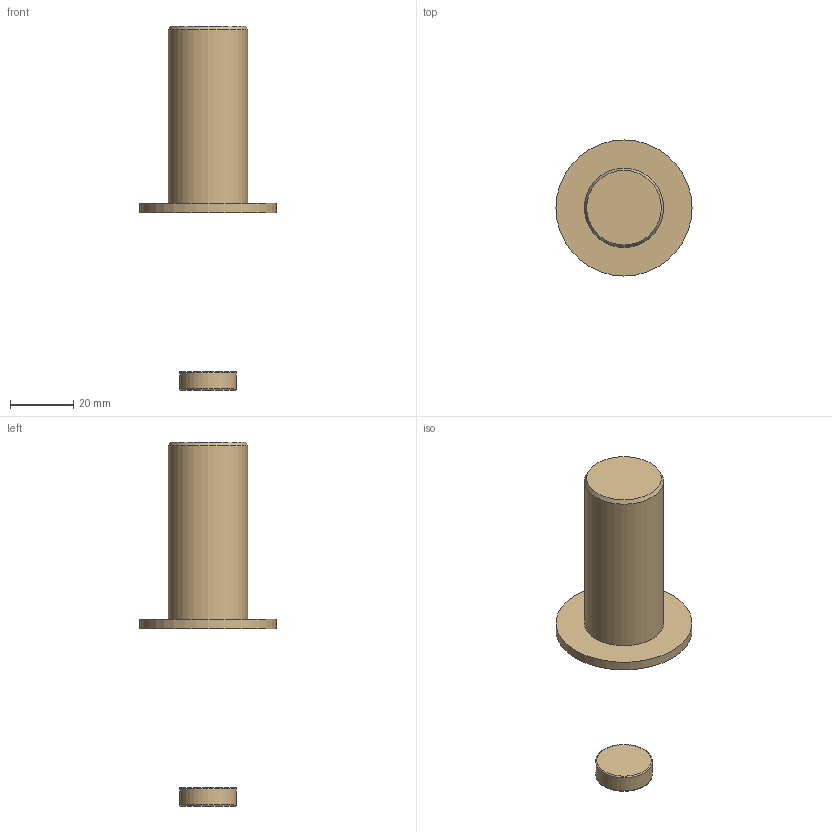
import cadquery as cq

flange_diameter = 43.0
flange_thickness = 3.0
shank_diameter = 25.0
pin_length = 59.0
shank_chamfer_width = 0.7
shank_chamfer_height = 1.2

overall_height = 115.0
disc_diameter = 18.0
disc_thickness = 5.8
disc_rim_radius = 0.4
disc_bottom = pin_length - overall_height


def make_flanged_pin():
    """Round shank on a thin round flange, with a steep chamfer on the free end."""
    flange = cq.Workplane("XY").circle(flange_diameter / 2).extrude(flange_thickness)
    shank = (
        cq.Workplane("XY")
        .circle(shank_diameter / 2)
        .extrude(pin_length)
        .faces(">Z")
        .chamfer(shank_chamfer_height, shank_chamfer_width)
    )
    return flange.union(shank)


def make_disc():
    """Short cylinder with both rims rounded."""
    return (
        cq.Workplane("XY")
        .workplane(offset=disc_bottom)
        .circle(disc_diameter / 2)
        .extrude(disc_thickness)
        .faces("<Z or >Z")
        .fillet(disc_rim_radius)
    )


flanged_pin = make_flanged_pin()
disc = make_disc()

result = cq.Compound.makeCompound([flanged_pin.val(), disc.val()])